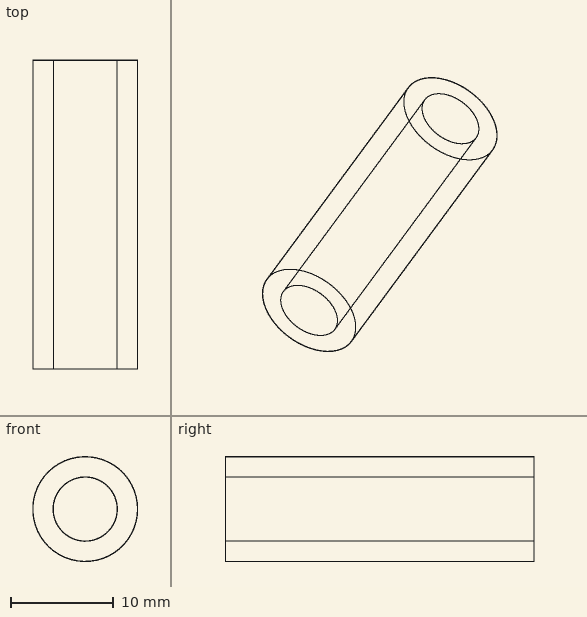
import cadquery as cq

length = 30.0
outer_diameter = 10.2
bore_diameter = 6.2

result = (
    cq.Workplane("XZ", origin=(0, length / 2, 0))
    .circle(outer_diameter / 2)
    .circle(bore_diameter / 2)
    .extrude(length)
)